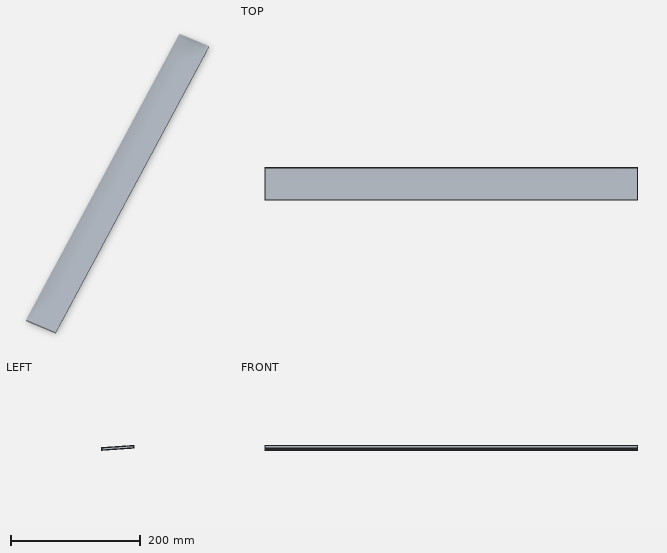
import cadquery as cq

length = 575.0
width = 50.0
overall_height = 7.5
thickness = 4.0
rise = overall_height - thickness

front_y = -width / 2
back_y = width / 2
bottom_z = -overall_height / 2
cross_section = [
    (front_y, bottom_z + rise),
    (back_y, bottom_z),
    (back_y, bottom_z + thickness),
    (front_y, bottom_z + overall_height),
]

result = cq.Workplane("YZ").polyline(cross_section).close().extrude(length / 2, both=True)